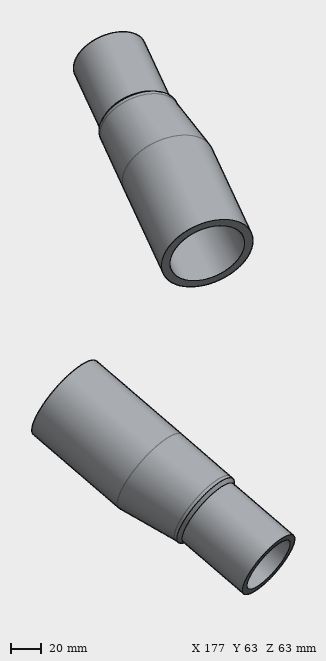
import cadquery as cq

total_length = 177.0
large_diameter = 63.0
small_diameter = 50.0
large_bore = 51.3
small_bore = 40.9

collar_start = 53.5
collar_chamfer_length = 2.5
collar_length = 4.8
large_start = 101.0

collar_diameter = 54.7
small_offset = (collar_diameter - large_diameter) / 2
collar_end = collar_start + collar_length


def cylinder(start, end, diameter, offset):
    """Cylinder along X whose axis is shifted by offset in Y."""
    plane = cq.Workplane("YZ", origin=(start, offset, 0))
    return plane.circle(diameter / 2).extrude(end - start)


def cone(start, end, start_diameter, end_diameter, start_offset, end_offset):
    """Straight or oblique cone between two circles facing X."""
    first = cq.Workplane("YZ", origin=(start, start_offset, 0)).circle(start_diameter / 2)
    last = first.workplane(offset=end - start).center(end_offset - start_offset, 0)
    return last.circle(end_diameter / 2).loft(ruled=True)


small_pipe = cylinder(0, collar_start, small_diameter, small_offset)
collar_face_end = collar_start + collar_chamfer_length
collar_chamfer = cone(
    collar_start, collar_face_end, small_diameter, collar_diameter, small_offset, small_offset
)
collar = cylinder(collar_face_end, collar_end, collar_diameter, small_offset)
taper = cone(collar_end, large_start, collar_diameter, large_diameter, small_offset, 0)
large_pipe = cylinder(large_start, total_length, large_diameter, 0)
body = small_pipe.union(collar_chamfer).union(collar).union(taper).union(large_pipe)

small_hole = cylinder(0, collar_end, small_bore, small_offset)
tapered_hole = cone(collar_end, large_start, small_bore, large_bore, small_offset, 0)
large_hole = cylinder(large_start, total_length, large_bore, 0)
result = body.cut(small_hole).cut(tapered_hole).cut(large_hole)